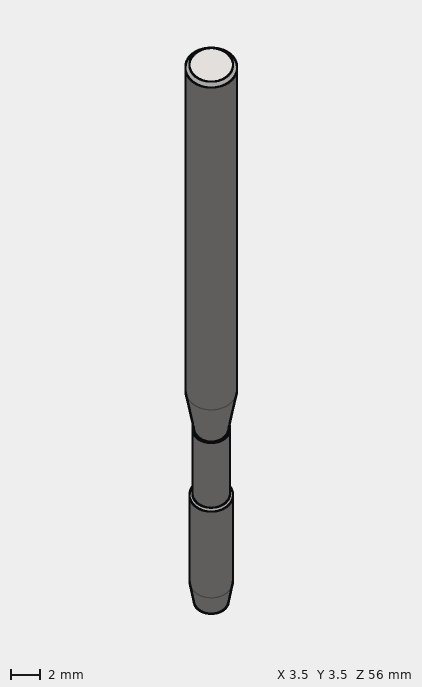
import cadquery as cq

TOTAL_LENGTH = 56.0
TAPER_TOP = 22.0
TAPER_BOTTOM = 18.0
HEAD_TOP = 11.2
TIP_LENGTH = 2.0

SHANK_DIAMETER = 3.5
TAPER_END_DIAMETER = 2.3
NECK_DIAMETER = 2.5
HEAD_DIAMETER = 2.9
TIP_DIAMETER = 2.35

SHANK_CHAMFER = 0.3
HEAD_SHOULDER_HEIGHT = 0.15


def cylinder(diameter, bottom, top):
    """Upright cylinder on the Z axis between two heights."""
    return cq.Workplane("XY").workplane(offset=bottom).circle(diameter / 2).extrude(top - bottom)


def cone(bottom_diameter, top_diameter, bottom, top):
    """Upright truncated cone on the Z axis between two heights."""
    return (
        cq.Workplane("XY")
        .workplane(offset=bottom)
        .circle(bottom_diameter / 2)
        .workplane(offset=top - bottom)
        .circle(top_diameter / 2)
        .loft()
    )


def make_shank():
    """Long chamfered shank that tapers down towards the neck."""
    shaft = cylinder(SHANK_DIAMETER, TAPER_TOP, TOTAL_LENGTH)
    shaft = shaft.faces(">Z").edges().chamfer(SHANK_CHAMFER)
    taper = cone(TAPER_END_DIAMETER, SHANK_DIAMETER, TAPER_BOTTOM, TAPER_TOP)
    return shaft.union(taper)


def make_cutter():
    """Slim neck carrying a wider head with a sloped shoulder and a tapered tip."""
    neck = cylinder(NECK_DIAMETER, HEAD_TOP, TAPER_BOTTOM)
    shoulder_bottom = HEAD_TOP - HEAD_SHOULDER_HEIGHT
    shoulder = cone(HEAD_DIAMETER, NECK_DIAMETER, shoulder_bottom, HEAD_TOP)
    head = cylinder(HEAD_DIAMETER, TIP_LENGTH, shoulder_bottom)
    tip = cone(TIP_DIAMETER, HEAD_DIAMETER, 0, TIP_LENGTH)
    return neck.union(shoulder).union(head).union(tip)


shank = make_shank()
cutter = make_cutter()

result = cq.Compound.makeCompound([shank.val(), cutter.val()])